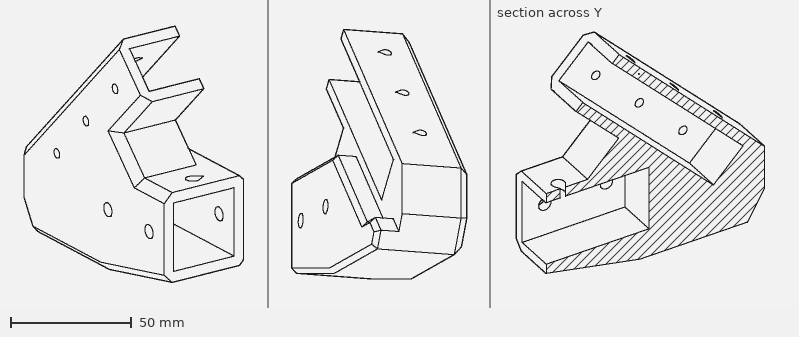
import cadquery as cq
import math

length = 106.5
depth = 40.0
wall = 4.8
front_chamfer = 4.0
back_chamfer = 2.1

arm_width = 29.8
arm_depth = 30.0
arm_start_z = 35.0
arm_rise = 70.9
arm_socket_length = 90.0
hole_pitch = 30.0
arm_hole_count = 3
arm_hole_inset = 15.3
arm_hole_diameter = 4.0
arm_teardrop_tip = 3.7

sleeve_center_z = 29.1
sleeve_bottom_z = sleeve_center_z - depth / 2
sleeve_top_z = sleeve_center_z + depth / 2
sleeve_socket_length = 50.1
sleeve_hole_diameter = 6.0
sleeve_hole_inset = 11.1
sleeve_teardrop_inset = 8.2
sleeve_teardrop_tip = 5.5

left_corner_z = 13.8
bottom_left_x = 8.3
bottom_right_x = 60.7
notch = (71.2, 64.2)
notch_foot_x = notch[0] + notch[1] - sleeve_top_z

rear_left_x = 4.0
rear_left = (rear_left_x, left_corner_z * (1 - rear_left_x / bottom_left_x))
rear_ledge_z = sleeve_bottom_z + wall
rear_ledge_start_x = rear_left[0] + rear_ledge_z - rear_left[1]
rear_ledge_end_x = 20.6
rear_top_x = rear_ledge_end_x + sleeve_top_z - rear_ledge_z

diagonal = math.sqrt(0.5)
arm_end = (arm_rise, arm_start_z + arm_rise)
arm_end_low = (arm_end[0] + arm_width * diagonal, arm_end[1] - arm_width * diagonal)


def prism(points, start_y, end_y):
    """Extrude an XZ outline from start_y to end_y."""
    plane = cq.Workplane("XZ", origin=(0, start_y, 0))
    return plane.polyline(points).close().extrude(start_y - end_y)


def chamfer_face_rim(body, face, open_ends, size):
    """Chamfer the rim of a face, leaving the edges at the open socket ends sharp."""
    def is_open_end(edge):
        middle = edge.Center()
        return any(math.hypot(middle.x - x, middle.z - z) < size / 10 for x, z in open_ends)

    rim = body.faces(face).edges()
    kept = [edge for edge in rim.vals() if not is_open_end(edge)]
    return rim.newObject(kept).chamfer(size)


def teardrop(plane, diameter, tip, hole_depth):
    """Round hole with a pointed roof toward local +Y, cut against the plane normal."""
    radius = diameter / 2
    tangent_y = radius ** 2 / tip
    tangent_x = math.sqrt(radius ** 2 - tangent_y ** 2)
    return (
        cq.Workplane(plane)
        .moveTo(-tangent_x, tangent_y)
        .threePointArc((0, -radius), (tangent_x, tangent_y))
        .lineTo(0, tip)
        .close()
        .extrude(-hole_depth)
    )


def round_hole(x, z, diameter):
    """Round hole along Y through the whole part."""
    return cq.Workplane("XZ").center(x, z).circle(diameter / 2).extrude(-depth)


front_outline = [
    (0, arm_start_z),
    arm_end,
    arm_end_low,
    notch,
    (notch_foot_x, sleeve_top_z),
    (length, sleeve_top_z),
    (length, sleeve_bottom_z),
    (bottom_right_x, 0),
    (bottom_left_x, 0),
    (0, left_corner_z),
]
arm_end_middle = ((arm_end[0] + arm_end_low[0]) / 2, (arm_end[1] + arm_end_low[1]) / 2)
front_body = chamfer_face_rim(
    prism(front_outline, 0, arm_depth),
    "<Y",
    [arm_end_middle, (length, sleeve_center_z)],
    front_chamfer,
)

rear_outline = [
    rear_left,
    (rear_ledge_start_x, rear_ledge_z),
    (rear_ledge_end_x, rear_ledge_z),
    (rear_top_x, sleeve_top_z),
    (length, sleeve_top_z),
    (length, sleeve_bottom_z),
    (bottom_right_x, 0),
    (bottom_left_x, 0),
]
rear_block = chamfer_face_rim(
    prism(rear_outline, arm_depth, depth),
    ">Y",
    [(length, sleeve_center_z)],
    back_chamfer,
)
result = front_body.union(rear_block)

across_arm = cq.Vector(diagonal, 0, -diagonal)
arm_socket_corner = cq.Vector(arm_end[0], wall, arm_end[1]) + across_arm * wall
arm_socket = (
    cq.Workplane(cq.Plane(arm_socket_corner, across_arm, (diagonal, 0, diagonal)))
    .rect(arm_width - 2 * wall, arm_depth - wall, centered=False)
    .extrude(-arm_socket_length)
)
result = result.cut(arm_socket)

socket_side = depth - 2 * wall
sleeve_socket = (
    cq.Workplane("YZ", origin=(length, depth / 2, sleeve_center_z))
    .rect(socket_side, socket_side)
    .extrude(-sleeve_socket_length)
)
result = result.cut(sleeve_socket)

for index in range(arm_hole_count):
    distance = arm_hole_inset + index * hole_pitch
    face_x = arm_end[0] - distance * diagonal
    face_z = arm_end[1] - distance * diagonal
    center_offset = arm_width / 2 * diagonal
    result = result.cut(round_hole(face_x + center_offset, face_z - center_offset, arm_hole_diameter))
    upper_face = cq.Plane(
        origin=(face_x, arm_depth / 2, face_z),
        xDir=(diagonal, 0, diagonal),
        normal=(-diagonal, 0, diagonal),
    )
    result = result.cut(teardrop(upper_face, arm_hole_diameter, arm_teardrop_tip, wall))

for x in (length - sleeve_hole_inset, length - sleeve_hole_inset - hole_pitch):
    result = result.cut(round_hole(x, sleeve_center_z, sleeve_hole_diameter))
sleeve_top = cq.Plane(origin=(length - sleeve_teardrop_inset, depth / 2, sleeve_top_z))
result = result.cut(teardrop(sleeve_top, sleeve_hole_diameter, sleeve_teardrop_tip, wall))